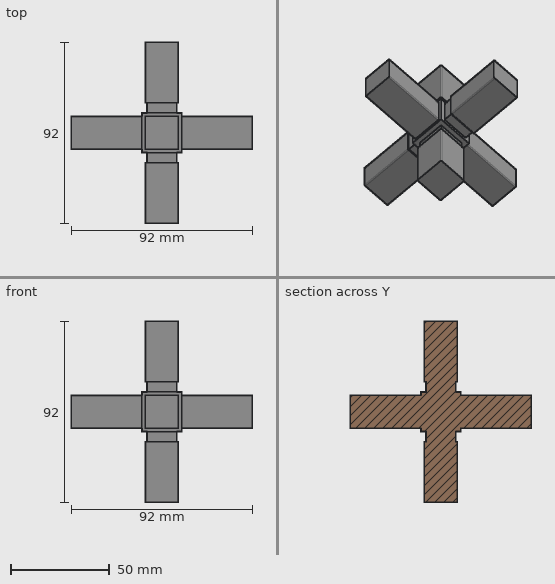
import cadquery as cq

span = 92.0
hub_side = 20.2
plug_side = 16.9
plug_length = 30.8
neck_side = 15.2
edge_radius = 0.55

half_span = span / 2
plug_start = half_span - plug_length


def square_bar(side, start, end):
    """Square bar along +Z between two heights."""
    return cq.Workplane("XY").workplane(offset=start).rect(side, side).extrude(end - start)


def rounded_plug(start):
    """Plug reaching the arm tip, with its long edges rounded."""
    return square_bar(plug_side, start, half_span).edges("|Z").fillet(edge_radius)


necked_arm = square_bar(neck_side, 0, plug_start).union(rounded_plug(plug_start))
straight_arm = rounded_plug(0)

result = cq.Workplane("XY").box(hub_side, hub_side, hub_side)

for angle in (0, 90, 180, 270):
    result = result.union(necked_arm.rotate((0, 0, 0), (1, 0, 0), angle))

for angle in (90, -90):
    result = result.union(straight_arm.rotate((0, 0, 0), (0, 1, 0), angle))